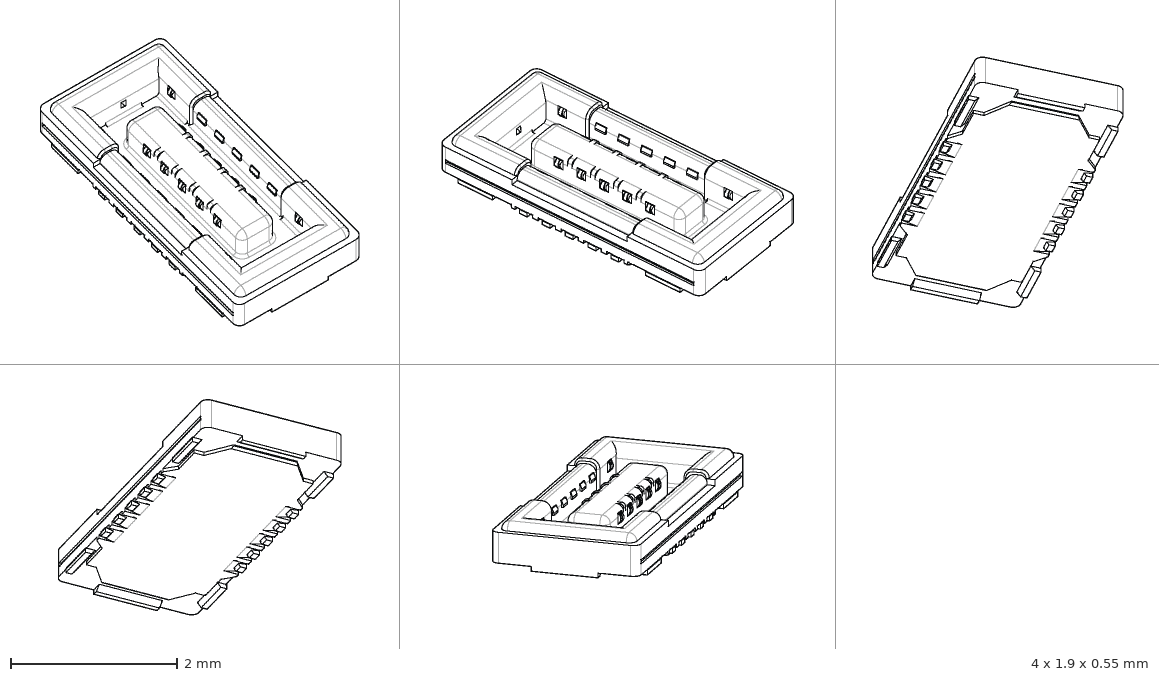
import cadquery as cq
import math

LENGTH = 4.0
OVERALL_WIDTH = 1.9
FOOT_OVERHANG = 0.01
WIDTH = OVERALL_WIDTH - 2 * FOOT_OVERHANG
HEIGHT = 0.55
CORNER_RADIUS = 0.1
BODY_BOTTOM = 0.06
SHOULDER_Z = 0.45
FLOOR_Z = 0.1

GROOVE_BOTTOM = 0.2
GROOVE_TOP = 0.25
GROOVE_DEPTH = 0.03

RIM_LENGTH = 3.828
RIM_WIDTH = 1.71
RIM_RADIUS = HEIGHT - SHOULDER_Z
CAVITY_LENGTH = 3.04
CAVITY_WIDTH = 1.07
END_LIP_RADIUS = 0.16
SIDE_LIP_RADIUS = 0.12

RAIL_HALF_LENGTH = 0.88
BLOCK_CHAMFER = 0.03
LEDGE_Z = 0.375
RAIL_TOP = 0.49
RAIL_INNER_Y = 0.568
RAIL_OUTER_Y = 0.838
RAIL_INNER_RADIUS = 0.12
RAIL_OUTER_RADIUS = 0.1

ISLAND_LENGTH = 2.33
ISLAND_WIDTH = 0.53
ISLAND_TOP = 0.495
ISLAND_RADIUS = 0.1
ISLAND_FOOT_RADIUS = 0.04
DIVIDER_WIDTH = 0.07
DIVIDER_RADIUS = 0.05

PITCH = 0.35
CONTACT_COUNT = 5
BUMP_Z = 0.368
BUMP_HEIGHT = 0.135
BUMP_BASE_WIDTH = 0.135
BUMP_FACE_WIDTH = 0.09
BUMP_DEPTH = 0.025
BUMP_RIDGE_WIDTH = 0.05
BUMP_RIDGE_DEPTH = 0.042
END_BUMP_X = 1.27
DIMPLE_Z = 0.3
DIMPLE_HEIGHT = 0.09
DIMPLE_BASE_WIDTH = 0.08
DIMPLE_FACE_WIDTH = 0.03
DIMPLE_DEPTH = 0.03
LUG_WIDTH = 0.16
LUG_DEPTH = 0.022
LUG_BOTTOM = 0.335
LUG_FACE_TOP = 0.36
LUG_TOP = 0.42

RAIL_COVE = 0.05
BLOCK_COVE = 0.04
BLOCK_COVE_INNER_X = 0.95
END_COVE_LENGTH = 0.54

PLATE_BOTTOM = 0.015
PLATE_END_X = 1.766
PLATE_END_Y = 0.425
PLATE_SHOULDER_X = 1.45
PLATE_SHOULDER_Y = 0.668
PLATE_WAIST_Y = 0.8
PLATE_WAIST_X = 1.027
PLATE_FLARE_X = 0.887
PLATE_END_CHAMFER = 0.03
RECESS_WIDTH = 0.265
RECESS_INNER_Y = 0.74
FOOT_WIDTH = 0.12
SIDE_FOOT_LAND = 0.08
SIDE_FOOT_REACH = 0.13
END_FOOT_LAND = 0.07
END_FOOT_REACH = 0.15
END_FOOT_WIDTH = 0.85
CORNER_FOOT_INNER_X = 1.17
CORNER_FOOT_OUTER_X = 1.70

TOLERANCE = 0.001
OVERLAP = 0.02
CONTACT_XS = [PITCH * (i - (CONTACT_COUNT - 1) / 2) for i in range(CONTACT_COUNT)]
DIVIDER_XS = [x + PITCH / 2 for x in CONTACT_XS[:-1]]


def block(x0, x1, y0, y1, z0, z1):
    return cq.Workplane("XY").box(x1 - x0, y1 - y0, z1 - z0, centered=False).translate((x0, y0, z0))


def slab(length, width, z0, z1, corner):
    """Centred rectangular slab with rounded vertical corners."""
    plan = cq.Workplane("XY").workplane(offset=z0).rect(length, width)
    return plan.extrude(z1 - z0).edges("|Z").fillet(corner)


def both_sides(piece):
    return piece.union(piece.mirror("XZ"))


def both_ends(piece):
    return piece.union(piece.mirror("YZ"))


def extrude_along_x(profile, x0, x1):
    """Extrude a YZ profile between two X positions."""
    return profile.extrude(x1 - x0).translate((x0, 0, 0))


def arc_rise(radius):
    """Offset of a quarter arc's midpoint from the corner of its tangent lines."""
    return radius * (1 - math.sqrt(0.5))


def lip_profile(plane, half_width, radius):
    """Cavity cross section whose walls round outwards into the rim top."""
    arc_x = half_width + arc_rise(radius)
    arc_z = HEIGHT - arc_rise(radius)
    return (
        cq.Workplane(plane)
        .moveTo(-half_width, FLOOR_Z)
        .lineTo(half_width, FLOOR_Z)
        .lineTo(half_width, HEIGHT - radius)
        .threePointArc((arc_x, arc_z), (half_width + radius, HEIGHT))
        .lineTo(-half_width - radius, HEIGHT)
        .threePointArc((-arc_x, arc_z), (-half_width, HEIGHT - radius))
        .close()
    )


def cavity():
    """Rectangular cavity with mitred, rounded lips."""
    along_x = lip_profile("YZ", CAVITY_WIDTH / 2, SIDE_LIP_RADIUS).extrude(LENGTH / 2, both=True)
    along_y = lip_profile("XZ", CAVITY_LENGTH / 2, END_LIP_RADIUS).extrude(OVERALL_WIDTH / 2, both=True)
    return along_x.intersect(along_y)


def housing():
    """Two rimmed end blocks joined by the floor."""
    body = slab(LENGTH, WIDTH, BODY_BOTTOM, SHOULDER_Z, CORNER_RADIUS)
    rim = slab(RIM_LENGTH, RIM_WIDTH, FLOOR_Z, HEIGHT, RIM_RADIUS).faces(">Z").edges().fillet(RIM_RADIUS)
    body = body.union(rim).cut(cavity())
    gap = block(-RAIL_HALF_LENGTH, RAIL_HALF_LENGTH, -OVERALL_WIDTH, OVERALL_WIDTH, FLOOR_Z, HEIGHT)
    body = body.cut(gap)
    return chamfer_block_ends(body)


def chamfer_block_ends(body):
    """Bevel the rim and cavity-wall edges of the end block faces that look at the rails."""
    lip_edge_y = CAVITY_WIDTH / 2 + SIDE_LIP_RADIUS

    def is_bevelled(edge):
        box = edge.BoundingBox()
        on_end_face = box.xlen < TOLERANCE and abs(abs(box.xmin) - RAIL_HALF_LENGTH) < TOLERANCE
        off_floor = box.zmax > FLOOR_Z + TOLERANCE
        on_rim = box.zmin > SHOULDER_Z - TOLERANCE and box.zmax > SHOULDER_Z + TOLERANCE
        on_cavity_wall = max(abs(box.ymin), abs(box.ymax)) < lip_edge_y + TOLERANCE
        return on_end_face and off_floor and (on_rim or on_cavity_wall)

    edges = [edge for edge in body.edges().vals() if is_bevelled(edge)]
    return body.newObject(edges).chamfer(BLOCK_CHAMFER)


def rail():
    """Rounded side rail with its outer ledge, on the +Y side."""
    inner, outer = RAIL_INNER_RADIUS, RAIL_OUTER_RADIUS
    profile = (
        cq.Workplane("YZ")
        .moveTo(RAIL_INNER_Y, BODY_BOTTOM)
        .lineTo(WIDTH / 2, BODY_BOTTOM)
        .lineTo(WIDTH / 2, LEDGE_Z)
        .lineTo(RAIL_OUTER_Y, LEDGE_Z)
        .lineTo(RAIL_OUTER_Y, RAIL_TOP - outer)
        .threePointArc(
            (RAIL_OUTER_Y - arc_rise(outer), RAIL_TOP - arc_rise(outer)),
            (RAIL_OUTER_Y - outer, RAIL_TOP),
        )
        .lineTo(RAIL_INNER_Y + inner, RAIL_TOP)
        .threePointArc(
            (RAIL_INNER_Y + arc_rise(inner), RAIL_TOP - arc_rise(inner)),
            (RAIL_INNER_Y, RAIL_TOP - inner),
        )
        .close()
    )
    return extrude_along_x(profile, -RAIL_HALF_LENGTH, RAIL_HALF_LENGTH)


def cove(wall_y, radius, x0, x1):
    """Concave rounding between the floor and a wall on the +Y side."""
    profile = (
        cq.Workplane("YZ")
        .moveTo(wall_y - radius, FLOOR_Z)
        .threePointArc(
            (wall_y - arc_rise(radius), FLOOR_Z + arc_rise(radius)),
            (wall_y, FLOOR_Z + radius),
        )
        .lineTo(wall_y + OVERLAP, FLOOR_Z + radius)
        .lineTo(wall_y + OVERLAP, FLOOR_Z - OVERLAP)
        .lineTo(wall_y - radius, FLOOR_Z - OVERLAP)
        .close()
    )
    return extrude_along_x(profile, x0, x1)


def floor_coves():
    rail_end = RAIL_HALF_LENGTH + BLOCK_CHAMFER
    rails = cove(RAIL_INNER_Y, RAIL_COVE, -rail_end, rail_end)
    corners = both_ends(cove(CAVITY_WIDTH / 2, BLOCK_COVE, BLOCK_COVE_INNER_X, CAVITY_LENGTH / 2))
    ends = cove(CAVITY_LENGTH / 2, BLOCK_COVE, -END_COVE_LENGTH / 2, END_COVE_LENGTH / 2)
    ends = ends.rotate((0, 0, 0), (0, 0, 1), 90)
    return both_sides(rails), both_sides(corners), both_ends(ends)


def divider():
    """Rib across the island between two contacts, with smaller edge roundings."""
    half_x, half_y = DIVIDER_WIDTH / 2, ISLAND_WIDTH / 2
    rib = block(-half_x, half_x, -half_y, half_y, BODY_BOTTOM, ISLAND_TOP)
    return rib.faces(">Z").edges("|X").fillet(DIVIDER_RADIUS)


def island():
    body = slab(ISLAND_LENGTH, ISLAND_WIDTH, BODY_BOTTOM, ISLAND_TOP, ISLAND_RADIUS)
    body = body.faces(">Z").edges().fillet(ISLAND_RADIUS)
    for x in DIVIDER_XS:
        body = body.union(divider().translate((x, 0, 0)))
    return body


def round_island_foot(part):
    """Concave rounding where the island meets the cavity floor."""
    reach_x = ISLAND_LENGTH / 2 + OVERLAP
    reach_y = ISLAND_WIDTH / 2 + OVERLAP
    around_foot = cq.selectors.BoxSelector(
        (-reach_x, -reach_y, FLOOR_Z - OVERLAP),
        (reach_x, reach_y, FLOOR_Z + OVERLAP),
        boundingbox=True,
    )
    return part.edges(around_foot).fillet(ISLAND_FOOT_RADIUS)


def bump(base_width, face_width, depth, height):
    """Contact bump growing from the XZ plane towards +Y: bevelled flanks, arched face."""
    plan = (
        cq.Workplane("XY")
        .polyline([
            (-base_width / 2, -OVERLAP),
            (base_width / 2, -OVERLAP),
            (base_width / 2, 0),
            (face_width / 2, depth),
            (-face_width / 2, depth),
            (-base_width / 2, 0),
        ])
        .close()
        .extrude(height / 2, both=True)
    )
    arch = (
        cq.Workplane("YZ")
        .moveTo(-OVERLAP, -height / 2)
        .lineTo(0, -height / 2)
        .threePointArc((depth, 0), (0, height / 2))
        .lineTo(-OVERLAP, height / 2)
        .close()
        .extrude(base_width / 2, both=True)
    )
    return plan.intersect(arch)


def contact_bumps():
    """Bumps on the island flanks and on the cavity walls of the end blocks."""
    shape = bump(BUMP_BASE_WIDTH, BUMP_FACE_WIDTH, BUMP_DEPTH, BUMP_HEIGHT)
    shape = shape.union(bump(BUMP_RIDGE_WIDTH, BUMP_RIDGE_WIDTH, BUMP_RIDGE_DEPTH, BUMP_HEIGHT))
    pieces = [both_sides(shape.translate((x, ISLAND_WIDTH / 2, BUMP_Z))) for x in CONTACT_XS]
    inward = shape.mirror("XZ").translate((END_BUMP_X, CAVITY_WIDTH / 2, BUMP_Z))
    pieces.append(both_ends(both_sides(inward)))
    dimple = bump(DIMPLE_BASE_WIDTH, DIMPLE_FACE_WIDTH, DIMPLE_DEPTH, DIMPLE_HEIGHT)
    dimple = dimple.rotate((0, 0, 0), (0, 0, 1), 90).translate((CAVITY_LENGTH / 2, 0, DIMPLE_Z))
    pieces.append(both_ends(dimple))
    return pieces


def rail_lugs():
    """Small wedge-shaped contact tips standing out of the rail walls."""
    half = LUG_WIDTH / 2
    face = RAIL_INNER_Y - LUG_DEPTH
    back = RAIL_INNER_Y + OVERLAP
    profile = (
        cq.Workplane("YZ")
        .polyline([
            (face, LUG_BOTTOM),
            (back, LUG_BOTTOM),
            (back, LUG_TOP),
            (RAIL_INNER_Y, LUG_TOP),
            (face, LUG_FACE_TOP),
        ])
        .close()
    )
    lug = both_sides(extrude_along_x(profile, -half, half))
    return [lug.translate((x, 0, 0)) for x in CONTACT_XS]


def plate():
    """Raised centre of the underside, notched around the contact feet."""
    quarter = [
        (PLATE_FLARE_X, WIDTH / 2),
        (PLATE_WAIST_X, PLATE_WAIST_Y),
        (PLATE_SHOULDER_X, PLATE_WAIST_Y),
        (PLATE_SHOULDER_X, PLATE_SHOULDER_Y),
        (PLATE_END_X, PLATE_END_Y),
    ]
    half = quarter + [(x, -y) for x, y in reversed(quarter)]
    outline = half + [(-x, -y) for x, y in half]
    body = cq.Workplane("XY").workplane(offset=PLATE_BOTTOM).polyline(outline).close()
    body = body.extrude(BODY_BOTTOM - PLATE_BOTTOM + OVERLAP)
    body = body.faces("<Z").edges("<X or >X").chamfer(PLATE_END_CHAMFER)
    ramp = (
        cq.Workplane("YZ")
        .polyline([
            (WIDTH / 2, BODY_BOTTOM),
            (RECESS_INNER_Y, PLATE_BOTTOM),
            (WIDTH / 2, PLATE_BOTTOM),
        ])
        .close()
    )
    recess = extrude_along_x(ramp, -RECESS_WIDTH / 2, RECESS_WIDTH / 2)
    for x in CONTACT_XS:
        body = body.cut(both_sides(recess.translate((x, 0, 0))))
    return body


def foot(outer, land, reach, x0, x1):
    """Solder foot on the +Y side with a bevelled inner flank."""
    profile = (
        cq.Workplane("YZ")
        .polyline([
            (outer, 0),
            (outer, BODY_BOTTOM),
            (outer - FOOT_OVERHANG, BODY_BOTTOM),
            (outer - FOOT_OVERHANG, BODY_BOTTOM + OVERLAP),
            (outer - reach, BODY_BOTTOM + OVERLAP),
            (outer - reach, BODY_BOTTOM),
            (outer - land, 0),
        ])
        .close()
    )
    return extrude_along_x(profile, x0, x1)


def feet():
    outer = OVERALL_WIDTH / 2
    half = FOOT_WIDTH / 2
    contact = both_sides(foot(outer, SIDE_FOOT_LAND, SIDE_FOOT_REACH, -half, half))
    pieces = [contact.translate((x, 0, 0)) for x in CONTACT_XS]
    corner = foot(outer, SIDE_FOOT_LAND, SIDE_FOOT_REACH, CORNER_FOOT_INNER_X, CORNER_FOOT_OUTER_X)
    pieces.append(both_ends(both_sides(corner)))
    end = foot(LENGTH / 2, END_FOOT_LAND, END_FOOT_REACH, -END_FOOT_WIDTH / 2, END_FOOT_WIDTH / 2)
    pieces.append(both_ends(end.rotate((0, 0, 0), (0, 0, 1), 90)))
    return pieces


def side_groove():
    half = LENGTH / 2 - CORNER_RADIUS
    return both_sides(block(-half, half, WIDTH / 2 - GROOVE_DEPTH, WIDTH / 2, GROOVE_BOTTOM, GROOVE_TOP))


part = housing().union(both_sides(rail())).union(island())
part = round_island_foot(part)
pieces = [*floor_coves(), *contact_bumps(), *rail_lugs(), plate(), *feet()]
for piece in pieces:
    part = part.union(piece)
result = part.cut(side_groove())